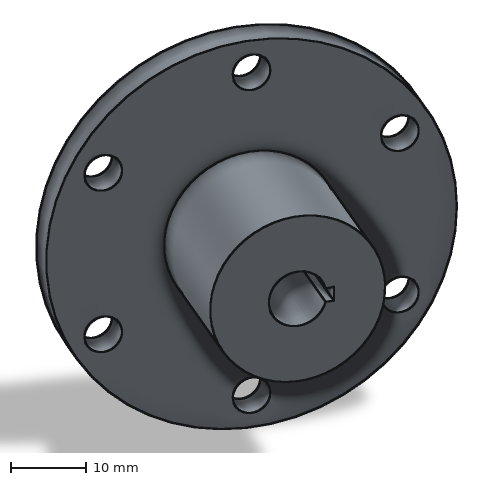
import cadquery as cq

flange_diameter = 57.15
flange_thickness = 4.6
hub_diameter = 24.35
overall_length = 25.4

bore_diameter = 8
keyway_width = 2.0
keyway_reach = 5.05

bolt_hole_count = 6
bolt_hole_diameter = 5.2
bolt_circle_radius = 23.85


def cylinder_along_x(diameter, length):
    return cq.Workplane("YZ").circle(diameter / 2).extrude(length)


flange = cylinder_along_x(flange_diameter, flange_thickness)
hub = cylinder_along_x(hub_diameter, overall_length)
body = flange.union(hub)

bore = cylinder_along_x(bore_diameter, overall_length)
keyway = (
    cq.Workplane("YZ")
    .center(keyway_reach / 2, 0)
    .rect(keyway_reach, keyway_width)
    .extrude(overall_length)
)

bolt_holes = (
    cq.Workplane("YZ")
    .polarArray(bolt_circle_radius, 90, 360, bolt_hole_count)
    .circle(bolt_hole_diameter / 2)
    .extrude(flange_thickness)
)

result = body.cut(bore).cut(keyway).cut(bolt_holes)